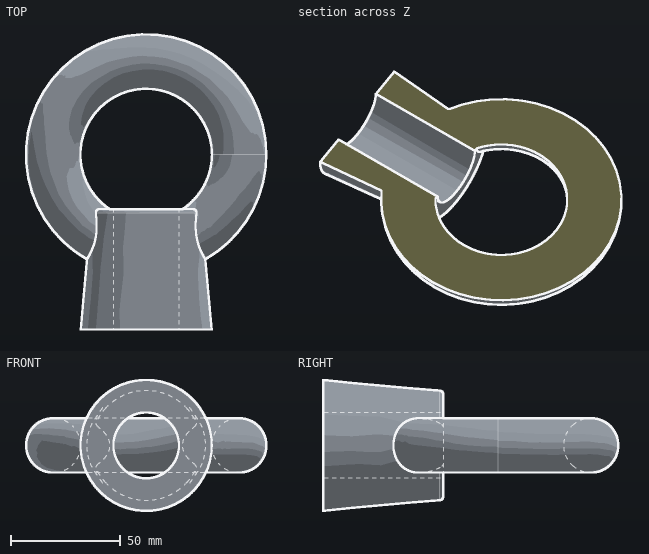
import cadquery as cq

bar_diameter = 25.0
ring_inner_diameter = 60.0
ring_mean_radius = (ring_inner_diameter + bar_diameter) / 2

hub_base_diameter = 60.0
hub_top_diameter = 50.0
hub_length = 55.0
hub_base_y = -80.0
hub_top_y = hub_base_y + hub_length
hub_top_fillet = 2.0

bore_diameter = 30.0


def make_ring():
    """Round bar bent into a full circle about the Z axis."""
    bar_section = cq.Workplane("XZ").center(ring_mean_radius, 0).circle(bar_diameter / 2)
    return bar_section.revolve(360, (-ring_mean_radius, 0), (-ring_mean_radius, 1))


def make_hub():
    """Solid truncated cone along Y with its narrow rim rounded."""
    profile = (
        cq.Workplane("XY")
        .moveTo(0, hub_base_y)
        .lineTo(hub_base_diameter / 2, hub_base_y)
        .lineTo(hub_top_diameter / 2, hub_top_y)
        .lineTo(0, hub_top_y)
        .close()
    )
    cone = profile.revolve(360, (0, 0), (0, 1))
    return cone.faces(">Y").edges().fillet(hub_top_fillet)


def make_bore():
    """Cylinder that opens the hub from its wide end to its narrow end."""
    base_plane = cq.Plane(origin=(0, hub_base_y, 0), xDir=(1, 0, 0), normal=(0, 1, 0))
    return cq.Workplane(base_plane).circle(bore_diameter / 2).extrude(hub_length)


result = make_ring().union(make_hub()).cut(make_bore())